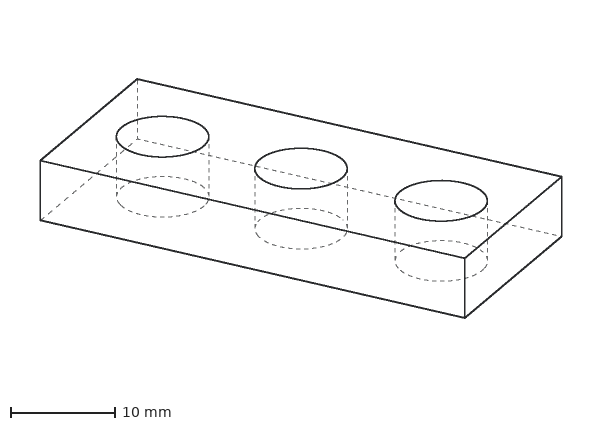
import cadquery as cq

length = 45.95
width = 20.1
thickness = 6.4

hole_diameter = 8.85
left_spacing = 15.0
right_spacing = 15.15
hole_centers = [(-left_spacing, 0), (0, 0), (right_spacing, 0)]

bar = cq.Workplane("XY").box(length, width, thickness)

result = (
    bar.faces(">Z")
    .workplane()
    .pushPoints(hole_centers)
    .hole(hole_diameter)
)